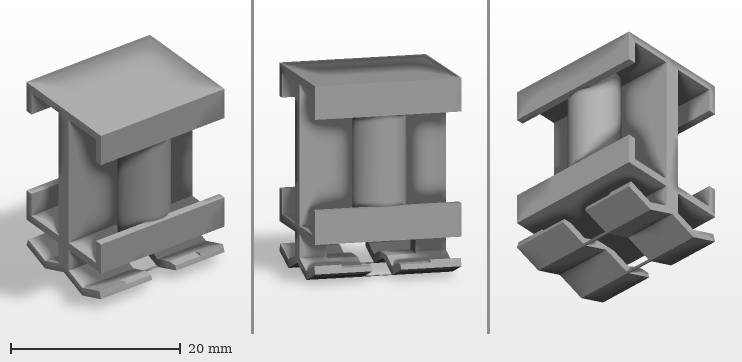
import cadquery as cq
import math

WIDTH = 15.0
DEPTH = 18.0
HEIGHT = 24.0

WALL = 1.0
WEB_THICKNESS = 2 * WALL
LIP_HEIGHT = 4 * WALL
BODY_BOTTOM = 4.92

POST_RADIUS = 3.17
POST_X = WIDTH / 4

CLIP_ANGLE = math.radians(20)
CLIP_THICKNESS = WALL
VALLEY_X = WIDTH / 4

WINDOW_BOTTOM = 1.95
WINDOW_Y_MIN = -5.23
WINDOW_Y_MAX = 5.64
SLOT_BOTTOM = 0.1
SLOT_Y_MIN = -1.55
SLOT_Y_MAX = 1.97


def box(x_min, x_max, y_min, y_max, z_min, z_max):
    """Axis-aligned box given by its limits."""
    size = (x_max - x_min, y_max - y_min, z_max - z_min)
    return cq.Workplane("XY").box(*size, centered=False).translate((x_min, y_min, z_min))


def full_depth(x_min, x_max, z_min, z_max):
    """Box running the whole depth of the part."""
    return box(x_min, x_max, -DEPTH / 2, DEPTH / 2, z_min, z_max)


def make_body():
    half_width = WIDTH / 2
    half_web = WEB_THICKNESS / 2
    body = full_depth(-half_width, half_width, BODY_BOTTOM, HEIGHT)
    for x_min, x_max in ((-half_width + WALL, -half_web), (half_web, half_width - WALL)):
        body = body.cut(full_depth(x_min, x_max, BODY_BOTTOM + WALL, HEIGHT - WALL))
    for x_min, x_max in ((-half_width, -half_width + WALL), (half_width - WALL, half_width)):
        body = body.cut(full_depth(x_min, x_max, BODY_BOTTOM + LIP_HEIGHT, HEIGHT - LIP_HEIGHT))
    return body


def add_posts(body):
    for x in (-POST_X, POST_X):
        post = (
            cq.Workplane("XY", origin=(x, 0, BODY_BOTTOM))
            .circle(POST_RADIUS)
            .extrude(HEIGHT - BODY_BOTTOM)
        )
        body = body.union(post)
    return body


def make_clip():
    """Constant-thickness W strip, with the stem that joins it to the body."""
    rise = VALLEY_X * math.tan(CLIP_ANGLE)
    thickness_z = CLIP_THICKNESS / math.cos(CLIP_ANGLE)
    tip_x = WIDTH / 2
    tip_top_x = tip_x - CLIP_THICKNESS * math.sin(CLIP_ANGLE)
    tip_top_z = rise + CLIP_THICKNESS * math.cos(CLIP_ANGLE)
    right_side = [
        (VALLEY_X, 0),
        (tip_x, rise),
        (tip_top_x, tip_top_z),
        (VALLEY_X, thickness_z),
    ]
    left_side = [(-x, z) for x, z in reversed(right_side)]
    outline = [(0, rise)] + right_side + [(0, rise + thickness_z)] + left_side
    strip = (
        cq.Workplane("XZ", origin=(0, DEPTH / 2, 0))
        .polyline(outline)
        .close()
        .extrude(DEPTH)
    )
    stem = full_depth(-WEB_THICKNESS / 2, WEB_THICKNESS / 2, WINDOW_BOTTOM, BODY_BOTTOM)
    return strip.union(stem)


def cut_opening(clip):
    """Wide window under the body, with a narrower slot reaching almost to the bottom."""
    window = box(-WIDTH, WIDTH, WINDOW_Y_MIN, WINDOW_Y_MAX, WINDOW_BOTTOM, BODY_BOTTOM)
    slot = box(-WIDTH, WIDTH, SLOT_Y_MIN, SLOT_Y_MAX, SLOT_BOTTOM, BODY_BOTTOM)
    return clip.cut(window).cut(slot)


body = add_posts(make_body())
clip = cut_opening(make_clip())
result = body.union(clip)